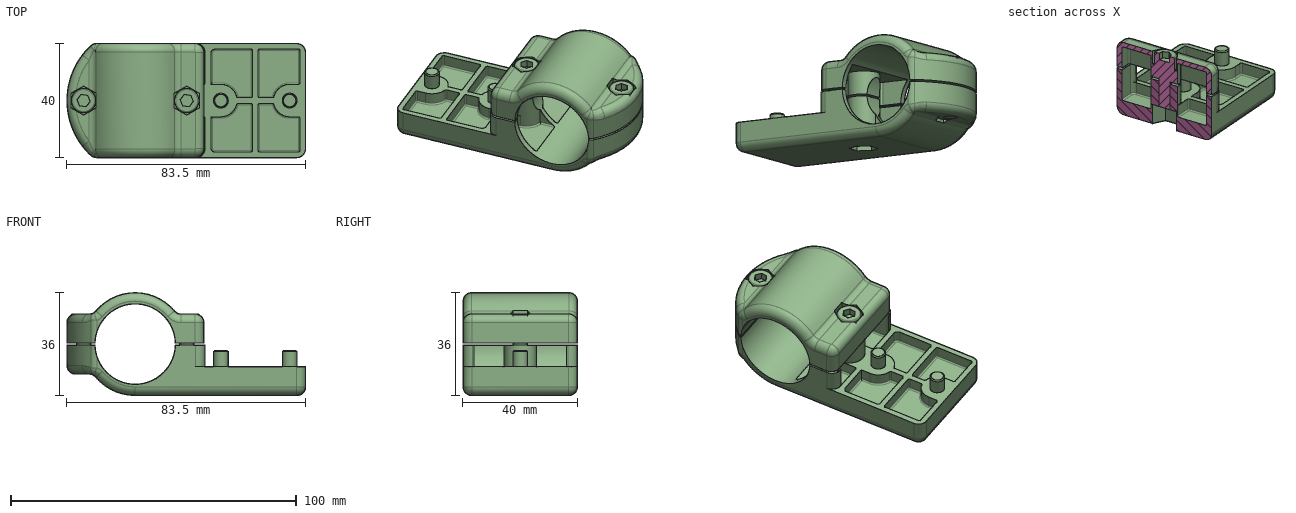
import cadquery as cq
import math


length = 83.5
width = 40.0
height = 36.0
gap = 0.7
wall = 2.0

bore_radius = 14.0
ring_radius = height / 2
left_reach = 23.9
right_reach = 24.05
flange_height = 10.5
blend_radius = 3.0
rim_radius = 3.0
corner_radius = 3.2
end_radius = 26.1

left_end = -left_reach
right_end = left_end + length
plate_bottom = -height / 2
plate_top = -7.85
block_reach = 24.5
block_corner = 3.3

pocket_depth = 4.4
pocket_floor = plate_top - pocket_depth
pocket_half_width = width / 2 - wall
flange_side_wall = 2.3
hollow_half_width = width / 2 - flange_side_wall
pocket_corner = 0.6
wide_pocket_corner = 1.5
floor_fillet = 0.5
boss_radius = 5.7

pin_places = [30.0, 54.0]
pin_radius = 2.6
pin_chamfer = 0.4
pin_top = -2.25

screw_offset = 18.0
screw_places = [-screw_offset, screw_offset]
shank_radius = 2.5
head_radius = 4.25
head_height = 5.0
head_fillet = 0.4
seat_height = flange_height - head_height
socket_size = 4.0
socket_depth = 2.5
socket_turn = -8
recess_size = 8.8
recess_turn = 30

tolerance = 0.1

blend_reach = ring_radius + blend_radius
blend_z = flange_height + blend_radius
blend_x = math.sqrt(blend_reach ** 2 - blend_z ** 2)
blend_angle = math.atan2(blend_z, blend_x)
ring_end_x = ring_radius * math.cos(blend_angle)
ring_end_z = ring_radius * math.sin(blend_angle)
middle_angle = (blend_angle + math.pi / 2) / 2
blend_middle_x = blend_x - blend_radius * math.cos(middle_angle)
blend_middle_z = blend_z - blend_radius * math.sin(middle_angle)


def box(x0, x1, half_width, z0, z1):
    """Box between two X and two Z positions, centred on Y."""
    block = cq.Workplane("XY").box(x1 - x0, 2 * half_width, z1 - z0, centered=(False, True, False))
    return block.translate((x0, 0, z0))


def cylinder(x, radius, z0, z1):
    return cq.Workplane("XY", origin=(x, 0, z0)).circle(radius).extrude(z1 - z0)


def hexagon(x, across_flats, turn, z0, z1):
    across_corners = across_flats * 2 / math.sqrt(3)
    prism = cq.Workplane("XY").polygon(6, across_corners).extrude(z1 - z0)
    return prism.rotate((0, 0, 0), (0, 0, 1), turn).translate((x, 0, z0))


def bore():
    return cq.Workplane("XZ").circle(bore_radius).extrude(width, both=True)


def plan(right):
    """Upright block with a bowed left end and rounded corners, ending at X = right."""
    half_width = width / 2
    shoulder = left_end + end_radius - math.sqrt(end_radius ** 2 - half_width ** 2)
    outline = (
        cq.Workplane("XY", origin=(0, 0, plate_bottom))
        .moveTo(shoulder, half_width)
        .threePointArc((left_end, 0), (shoulder, -half_width))
        .lineTo(right, -half_width)
        .lineTo(right, half_width)
        .close()
    )
    return outline.extrude(height).edges("|Z").fillet(corner_radius)


def make_blank(side_outline, right):
    """Side outline crossed with the plan, its rim rounded except along the parting plane."""
    blank = side_outline.close().extrude(width / 2, both=True).intersect(plan(right))
    right_rim = blank.edges("|Y").filter(lambda edge: edge.Center().x > blend_x + tolerance)
    side_rims = blank.edges("not (|Y or |Z)")
    rim = side_rims.add(right_rim).filter(lambda edge: abs(edge.Center().z) > gap)
    return rim.fillet(rim_radius)



def make_upper_blank():
    outline = (
        cq.Workplane("XZ")
        .moveTo(left_end, gap / 2)
        .lineTo(left_end, flange_height)
        .lineTo(-blend_x, flange_height)
        .threePointArc((-blend_middle_x, blend_middle_z), (-ring_end_x, ring_end_z))
        .threePointArc((0, ring_radius), (ring_end_x, ring_end_z))
        .threePointArc((blend_middle_x, blend_middle_z), (blend_x, flange_height))
        .lineTo(right_reach, flange_height)
        .lineTo(right_reach, gap / 2)
    )
    return make_blank(outline, right_reach)


def make_upper_hollow():
    """Hollow in the right flange, open to the bore and the gap, around the screw boss."""
    hollow = box(0, right_reach - wall, hollow_half_width, 0, flange_height - wall)
    hollow = hollow.edges("|Z and >X").fillet(pocket_corner)
    return hollow.cut(cylinder(screw_offset, boss_radius, 0, flange_height))


def make_screw(x):
    """Socket-head screw, flush with the outer faces of both flanges."""
    head = cylinder(x, head_radius, seat_height, flange_height)
    head = head.faces(">Z").edges().fillet(head_fillet)
    socket = hexagon(x, socket_size, socket_turn, flange_height - socket_depth, flange_height)
    shank = cylinder(x, shank_radius, -flange_height, seat_height)
    return head.cut(socket).union(shank)


def make_upper_half():
    upper = make_upper_blank().cut(bore()).cut(make_upper_hollow())
    for x in screw_places:
        upper = upper.cut(hexagon(x, recess_size, recess_turn, seat_height, ring_radius))
        upper = upper.union(make_screw(x))
    return upper



def make_lower_blank():
    """Lower half before the space above the plate is cut away."""
    ring_middle_angle = (blend_angle + math.pi / 2) / 2
    ring_middle_x = ring_radius * math.cos(ring_middle_angle)
    ring_middle_z = ring_radius * math.sin(ring_middle_angle)
    outline = (
        cq.Workplane("XZ")
        .moveTo(left_end, -gap / 2)
        .lineTo(left_end, -flange_height)
        .lineTo(-blend_x, -flange_height)
        .threePointArc((-blend_middle_x, -blend_middle_z), (-ring_end_x, -ring_end_z))
        .threePointArc((-ring_middle_x, -ring_middle_z), (0, plate_bottom))
        .lineTo(right_end, plate_bottom)
        .lineTo(right_end, -gap / 2)
    )
    return make_blank(outline, right_end)


def make_space_above_plate():
    """Space above the plate, around the rounded end of the block."""
    space = box(0, right_end, width, plate_top, 0)
    block = box(-block_reach, block_reach, width / 2, plate_top, 0)
    return space.cut(block.edges("|Z").fillet(block_corner))


def make_plate_pockets():
    """Four pockets, parted by a cross of ribs and two bosses that reach the end walls."""
    left = block_reach + wall
    right = right_end - wall
    divider = sum(pin_places) / 2

    near = box(left, divider - wall / 2, pocket_half_width, pocket_floor, plate_top)
    near = near.edges("|Z and <X").fillet(wide_pocket_corner)
    far = box(divider + wall / 2, right, pocket_half_width, pocket_floor, plate_top)

    ribs = box(left, right, wall / 2, pocket_floor, plate_top)
    ribs = ribs.union(box(left, pin_places[0], boss_radius, pocket_floor, plate_top))
    ribs = ribs.union(box(pin_places[1], right, boss_radius, pocket_floor, plate_top))
    for x in pin_places:
        ribs = ribs.union(cylinder(x, boss_radius, pocket_floor, plate_top))
    pockets = near.cut(ribs).union(far.cut(ribs))

    def is_sharp_corner(edge):
        x = edge.Center().x
        beside_pin = any(abs(x - pin) < tolerance for pin in pin_places)
        return x > left + wide_pocket_corner + tolerance and not beside_pin

    pockets = pockets.edges("|Z").filter(is_sharp_corner).fillet(pocket_corner)
    return pockets.faces("<Z").edges().fillet(floor_fillet)


def make_lower_hollow():
    """Hollow in the block, open to the bore and the gap and, above the plate, to the right."""
    hollow = box(0, block_reach, hollow_half_width, pocket_floor, 0)
    hollow = hollow.edges("|Z and >X").fillet(wide_pocket_corner)
    hollow = hollow.cut(cylinder(screw_offset, boss_radius, pocket_floor, 0))
    hollow = hollow.cut(box(0, screw_offset, wall / 2, pocket_floor, 0))
    hollow = hollow.cut(box(screw_offset, block_reach, boss_radius, pocket_floor, plate_top))
    web_corners = hollow.edges("|Z").filter(lambda edge: edge.Center().x > block_reach - tolerance)
    hollow = web_corners.fillet(pocket_corner)
    return hollow.faces("<Z").edges().fillet(floor_fillet)


def make_pin(x):
    pin = cylinder(x, pin_radius, plate_top, pin_top)
    return pin.faces(">Z").edges().chamfer(pin_chamfer)


def make_lower_half():
    lower = make_lower_blank().cut(bore()).cut(make_space_above_plate())
    lower = lower.cut(make_plate_pockets()).cut(make_lower_hollow())
    for x in screw_places:
        lower = lower.cut(cylinder(x, shank_radius, -flange_height, 0))
        lower = lower.cut(hexagon(x, recess_size, recess_turn, plate_bottom, -flange_height))
    for x in pin_places:
        lower = lower.union(make_pin(x))
    return lower


upper_half = make_upper_half()
lower_half = make_lower_half()
result = cq.Compound.makeCompound([upper_half.val(), lower_half.val()])